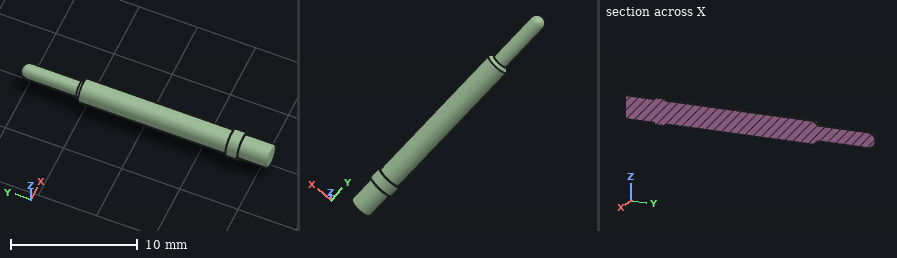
import cadquery as cq

total_length = 21.5
tail_length = 2.5
collar_length = 1.0
barrel_length = 16.51
collar_radius = 2.3 / 2
barrel_radius = 2.0 / 2
plunger_radius = 0.67
mouth_chamfer = 0.3
tail_fillet = 0.2


def cylinder(radius, start, length):
    """Cylinder along +Y, starting at a distance from the tail end."""
    plane = cq.Workplane("XZ", origin=(0, start - total_length / 2, 0))
    return plane.circle(radius).extrude(-length)


def make_barrel():
    """Barrel with a rounded tail end and a chamfered mouth."""
    barrel = cylinder(barrel_radius, 0, barrel_length)
    barrel = barrel.faces(">Y").chamfer(mouth_chamfer)
    return barrel.faces("<Y").edges().fillet(tail_fillet)


def make_plunger():
    """Plunger with a hemispherical tip, rooted inside the barrel."""
    root = tail_length + collar_length
    tip_centre = total_length - plunger_radius
    shaft = cylinder(plunger_radius, root, tip_centre - root)
    tip = cq.Workplane("XY").sphere(plunger_radius)
    return shaft.union(tip.translate((0, tip_centre - total_length / 2, 0)))


collar = cylinder(collar_radius, tail_length, collar_length)
result = make_barrel().union(collar).union(make_plunger())